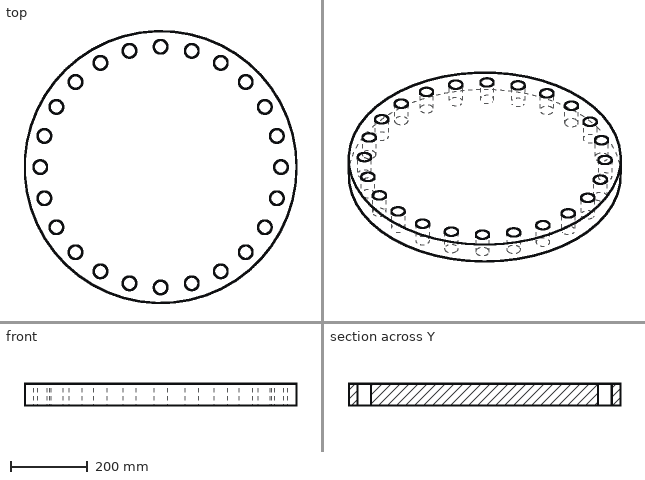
import cadquery as cq

flange_diameter = 711.0
flange_thickness = 57.15
bolt_circle_diameter = 628.65
bolt_hole_diameter = 35.0
bolt_hole_count = 24


def flange_disc():
    """Solid disc standing on the XY plane, centred on the Z axis."""
    return cq.Workplane("XY").circle(flange_diameter / 2).extrude(flange_thickness)


def drill_bolt_holes(disc):
    """Cut the ring of bolt holes, with the first hole on the +X axis."""
    return (
        disc.faces(">Z")
        .workplane()
        .polarArray(bolt_circle_diameter / 2, 0, 360, bolt_hole_count)
        .hole(bolt_hole_diameter)
    )


result = drill_bolt_holes(flange_disc())